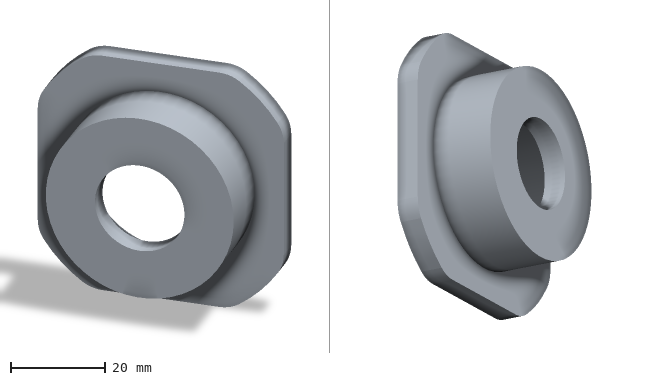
import cadquery as cq

flange_width = 55.0
flange_thickness = 5.0
corner_circle_radius = 31.5
blend_radius = 8.0

boss_diameter = 42.0
boss_length = 14.0
bore_diameter = 20.0
recess_diameter = 36.0
front_wall = 5.0

total_length = flange_thickness + boss_length
recess_depth = total_length - front_wall


def disc(diameter, length):
    """Cylinder along -Y starting from the flange back face at Y = 0."""
    return cq.Workplane("XZ").circle(diameter / 2).extrude(length)


def make_flange():
    """Square plate with arc-shaped corners, blended where the arcs meet the flats."""
    square = cq.Workplane("XZ").rect(flange_width, flange_width).extrude(flange_thickness)
    trimmed = square.intersect(disc(2 * corner_circle_radius, flange_thickness))
    return trimmed.edges("|Y").fillet(blend_radius)


flange = make_flange()
boss = disc(boss_diameter, total_length)
bore = disc(bore_diameter, total_length)
recess = disc(recess_diameter, recess_depth)

result = flange.union(boss).cut(bore).cut(recess)